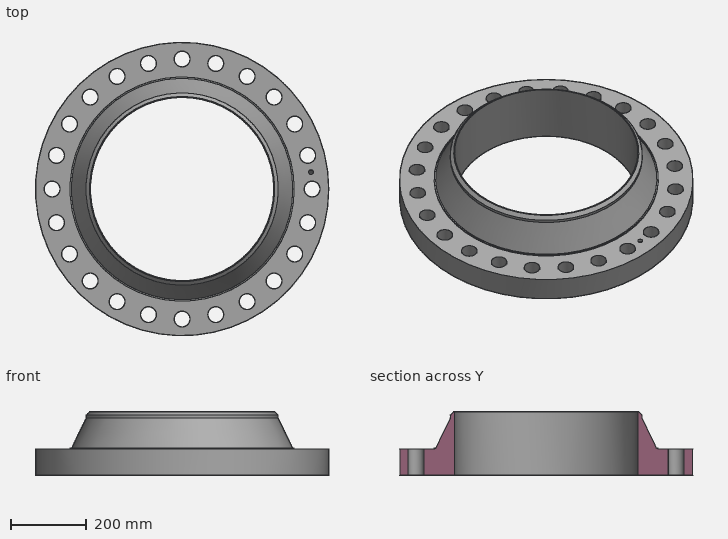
import cadquery as cq
import math

flange_diameter = 774.5
flange_thickness = 70.0

step_diameter = 592.0
step_height = 2.0

overall_height = 168.0
hub_base_diameter = 584.0
neck_diameter = 507.0
neck_height = 8.0
bevel_height = 9.0
bevel_width = 9.0
bore_diameter = 483.0

bolt_count = 24
bolt_circle_diameter = 686.0
bolt_hole_diameter = 41.0

pin_mouth_diameter = 12.5
pin_hole_diameter = 6.0
pin_hole_depth = 12.5
pin_countersink_angle = 90

step_top = flange_thickness + step_height
bevel_bottom = overall_height - bevel_height
neck_bottom = bevel_bottom - neck_height


def flange_body():
    """Half section (radius, height) revolved around Z."""
    bore_radius = bore_diameter / 2
    neck_radius = neck_diameter / 2
    section = [
        (bore_radius, 0),
        (flange_diameter / 2, 0),
        (flange_diameter / 2, flange_thickness),
        (step_diameter / 2, flange_thickness),
        (step_diameter / 2, step_top),
        (hub_base_diameter / 2, step_top),
        (neck_radius, neck_bottom),
        (neck_radius, bevel_bottom),
        (neck_radius - bevel_width, overall_height),
        (bore_radius, overall_height),
    ]
    return cq.Workplane("XZ").polyline(section).close().revolve(360, (0, 0), (0, 1))


def bolt_holes():
    return (
        cq.Workplane("XY")
        .polarArray(bolt_circle_diameter / 2, 0, 360, bolt_count)
        .circle(bolt_hole_diameter / 2)
        .extrude(flange_thickness)
    )


def with_pin_hole(body):
    angle = math.radians(360 / bolt_count / 2)
    radius = bolt_circle_diameter / 2
    return (
        body.copyWorkplane(cq.Workplane("XY", origin=(0, 0, flange_thickness)))
        .center(radius * math.cos(angle), radius * math.sin(angle))
        .cskHole(pin_hole_diameter, pin_mouth_diameter, pin_countersink_angle, pin_hole_depth)
    )


result = with_pin_hole(flange_body().cut(bolt_holes()))